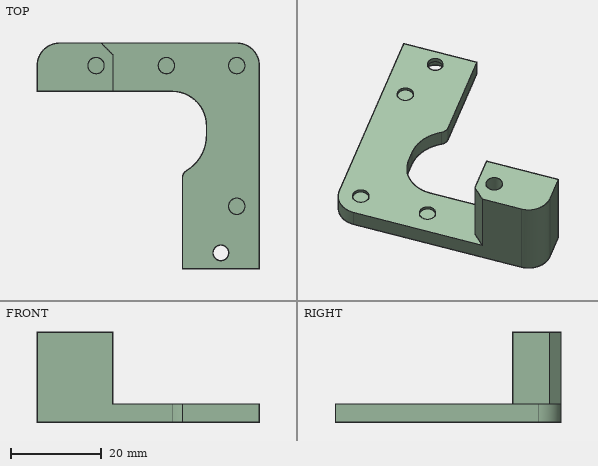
import cadquery as cq
import math

length_x = 49.0
depth_y = 49.77
height_z = 19.9

plate_thickness = 4.1
leg_width = 17.0
outer_corner_radius = 5.0
leg_shoulder_radius = 2.0

relief_back_radius = 7.5
relief_front_radius = 9.0
relief_flat = 2.2
relief_bite = 5.3

post_width = 16.7
post_depth = 10.7
post_corner_radius = 5.0
post_chamfer = 2.6

screw_pitch = 31.0
screw_inset = 5.0
recess_diameter = 3.6
recess_depth = 0.7
leg_hole_diameter = 3.4
leg_hole_inset = 3.5
counterbore_diameter = 6.4
counterbore_depth = 3.0

arm_front = depth_y - post_depth
leg_left = length_x - leg_width
relief_wall_x = leg_left + relief_bite
relief_start_x = relief_wall_x - relief_back_radius
relief_front_center_x = relief_wall_x - relief_front_radius
relief_back_y = arm_front - relief_back_radius
relief_front_y = relief_back_y - relief_flat
screw_x = length_x - screw_inset
screw_y = depth_y - screw_inset
recess_floor = plate_thickness - recess_depth


def make_plate():
    """L-shaped plate whose inside corner is opened up by a rounded relief."""
    shoulder_x = leg_left + leg_shoulder_radius
    center_distance = relief_front_radius + leg_shoulder_radius
    offset_x = shoulder_x - relief_front_center_x
    offset_y = math.sqrt(center_distance**2 - offset_x**2)
    shoulder_y = relief_front_y - offset_y
    touch_fraction = relief_front_radius / center_distance
    touch_point = (
        relief_front_center_x + offset_x * touch_fraction,
        relief_front_y - offset_y * touch_fraction,
    )
    return (
        cq.Workplane("XY")
        .moveTo(leg_left, 0)
        .lineTo(length_x, 0)
        .lineTo(length_x, depth_y - outer_corner_radius)
        .radiusArc((length_x - outer_corner_radius, depth_y), -outer_corner_radius)
        .lineTo(post_width / 2, depth_y)
        .lineTo(post_width / 2, arm_front)
        .lineTo(relief_start_x, arm_front)
        .radiusArc((relief_wall_x, relief_back_y), relief_back_radius)
        .lineTo(relief_wall_x, relief_front_y)
        .radiusArc(touch_point, relief_front_radius)
        .radiusArc((leg_left, shoulder_y), -leg_shoulder_radius)
        .close()
        .extrude(plate_thickness)
    )


def make_post():
    """Full-height block with a rounded and a chamfered back corner."""
    block = cq.Workplane("XY").box(post_width, post_depth, height_z, centered=False)
    block = block.translate((0, arm_front, 0))
    block = block.edges("|Z and <X and >Y").fillet(post_corner_radius)
    return block.edges("|Z and >X and >Y").chamfer(post_chamfer)


def make_screw_recesses():
    """Cutters for the four recesses, all ending on the same floor."""
    positions = [
        (screw_x - screw_pitch, screw_y),
        (screw_x - screw_pitch / 2, screw_y),
        (screw_x, screw_y),
        (screw_x, screw_y - screw_pitch),
    ]
    return (
        cq.Workplane("XY", origin=(0, 0, recess_floor))
        .pushPoints(positions)
        .circle(recess_diameter / 2)
        .extrude(height_z - recess_floor)
    )


def make_leg_hole():
    """Cutter for the leg's through hole with a screw-head counterbore in the underside."""
    center = (leg_left + leg_width / 2, leg_hole_inset)
    through = cq.Workplane("XY").center(*center).circle(leg_hole_diameter / 2).extrude(plate_thickness)
    counterbore = (
        cq.Workplane("XY").center(*center).circle(counterbore_diameter / 2).extrude(counterbore_depth)
    )
    return through.union(counterbore)


result = make_plate().union(make_post()).cut(make_screw_recesses()).cut(make_leg_hole())